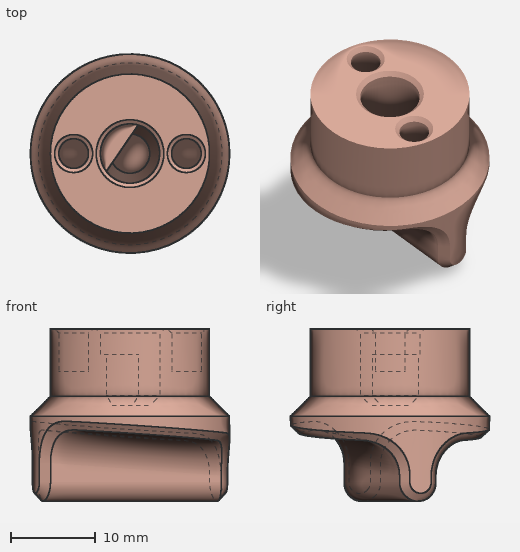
import cadquery as cq
import math

height = 20.3
hub_diameter = 18.73
flange_diameter = 23.45
hub_length = 7.95
flange_radius = flange_diameter / 2
hub_radius = hub_diameter / 2
cone_length = flange_radius - hub_radius

blade_angle = 18.0
blade_thickness = 4.5
blade_half = blade_thickness / 2
root_radius = 4.0
underside_depth = 12.52
underside_tilt = 4.0
edge_chamfer = 0.94

pin_hole_diameter = 3.5
pin_hole_offset = 6.63
pin_hole_depth = 5.0
bore_diameter = 6.99
ledge_depth = 3.0
ledge_offset = 1.1
ledge_angle = 55.5
bore_depth = 9.0
bore_floor_chamfer = 1.17
hole_chamfer = 0.5

tolerance = 0.002
clearance = 2.35


def make_body():
    """Turned blank, hub face at Z = 0, as deep as the whole part."""
    return (
        cq.Workplane("XZ")
        .lineTo(hub_radius, 0)
        .lineTo(hub_radius, -hub_length)
        .lineTo(flange_radius, -hub_length - cone_length)
        .lineTo(flange_radius, -height)
        .lineTo(0, -height)
        .close()
        .revolve(360, (0, 0, 0), (0, 1, 0))
    )


def make_side_cut(side):
    """Space beside the blade (side is +1 or -1), with the blade along X."""
    outer = side * (flange_radius + clearance)
    inner = side * blade_half
    fillet_end = side * (blade_half + root_radius)
    arc_inset = root_radius * (1 - math.sqrt(0.5))
    arc_middle = (side * (blade_half + arc_inset), -arc_inset)
    bottom = -height
    profile = (
        cq.Workplane("YZ")
        .moveTo(inner, bottom)
        .lineTo(inner, -root_radius)
        .threePointArc(arc_middle, (fillet_end, 0))
        .lineTo(outer, 0)
        .lineTo(outer, bottom)
        .close()
    )
    return (
        profile.extrude(flange_radius + clearance, both=True)
        .rotate((0, 0, 0), (0, 1, 0), underside_tilt)
        .translate((0, 0, -underside_depth))
    )


def make_tip_cut():
    """Material outside the full-round lower edge of the blade, with the blade along X."""
    length = flange_radius + clearance
    round_centre = blade_half - height
    end_plane = cq.Workplane("YZ", origin=(-length, 0, round_centre))
    block = end_plane.rect(2 * (blade_half + clearance), 2 * blade_half).extrude(2 * length)
    rod = end_plane.circle(blade_half).extrude(2 * length)
    return block.translate((0, 0, -blade_half)).cut(rod)


def make_pocket(diameter, depth):
    """Round blind hole from the hub face, with a 45 degree countersink."""
    radius = diameter / 2
    return (
        cq.Workplane("XZ")
        .lineTo(radius + hole_chamfer, 0)
        .lineTo(radius, -hole_chamfer)
        .lineTo(radius, -depth)
        .lineTo(0, -depth)
        .close()
        .revolve(360, (0, 0, 0), (0, 1, 0))
    )


def make_bore():
    """Shaft bore: round at the mouth, D-shaped below the ledge."""
    deep_part = (
        cq.Workplane("XY")
        .circle(bore_diameter / 2)
        .extrude(-bore_depth)
        .faces("<Z")
        .chamfer(bore_floor_chamfer)
    )
    flat_side = (
        cq.Workplane("XY")
        .rect(2 * flange_radius, 2 * flange_radius)
        .extrude(-height)
        .translate((0, flange_radius + ledge_offset, 0))
        .rotate((0, 0, 0), (0, 0, 1), ledge_angle)
    )
    return make_pocket(bore_diameter, ledge_depth).union(deep_part.cut(flat_side))


def is_lower_rim(edge):
    """True for the edges where the flange wall meets the cuts below it."""
    on_wall = all(
        math.isclose(math.hypot(point.x, point.y), flange_radius, abs_tol=tolerance)
        for point in edge.positions([0, 0.5, 1])
    )
    below_shoulder = edge.Center().z < -hub_length - cone_length - tolerance
    is_wall_seam = edge.geomType() == "LINE" and abs(edge.Center().y) < tolerance
    return on_wall and below_shoulder and not is_wall_seam


knob = make_body()
for side in (1, -1):
    knob = knob.cut(make_side_cut(side))
knob = knob.cut(make_tip_cut())

rim_edges = [edge for edge in knob.edges().vals() if is_lower_rim(edge)]
knob = knob.newObject(rim_edges).chamfer(edge_chamfer)
knob = knob.rotate((0, 0, 0), (0, 0, 1), blade_angle)

knob = knob.cut(make_bore())
for x in (-pin_hole_offset, pin_hole_offset):
    knob = knob.cut(make_pocket(pin_hole_diameter, pin_hole_depth).translate((x, 0, 0)))

result = knob